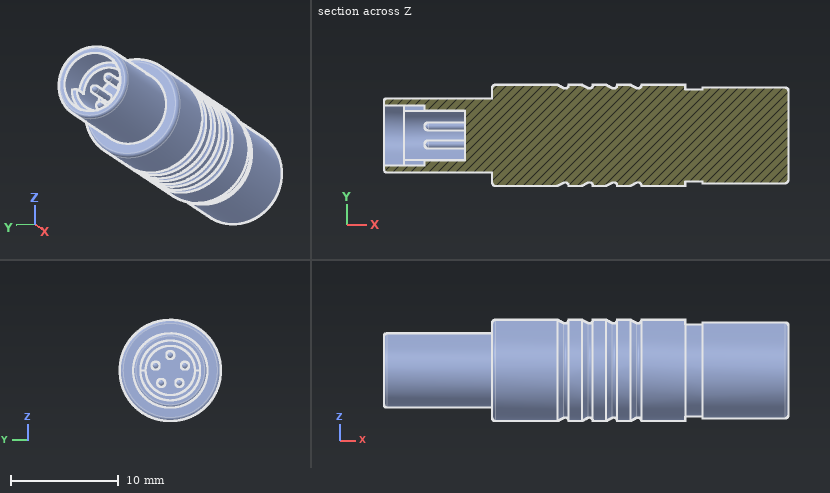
import cadquery as cq
import math

length = 37.5
body_start = 10.0
body_end = 27.95
collar_start = 29.5

tip_radius = 3.45
body_radius = 4.705
neck_radius = 4.28
collar_radius = 4.45

tip_round = 0.25
body_round = 0.35
collar_round = 0.35

groove_count = 4
groove_pitch = 2.25
first_groove = 16.1
groove_slope_length = 0.55
groove_width = 1.0
groove_slope_drop = 0.3

mouth_radius = 2.78
mouth_depth = 1.88
upper_mouth_depth = 3.75
bore_radius = 2.3
socket_depth = 7.5
pin_count = 5
pin_circle_radius = 1.42
pin_radius = 0.38
pin_length = 3.75
pin_embed = 0.38


def cylinder(start, end, radius):
    """Solid cylinder about the X axis between two stations."""
    return cq.Workplane("YZ", origin=(start, 0, 0)).circle(radius).extrude(end - start)


def outer_shell():
    """Stepped outside of the connector with its rounded edges."""
    tip = cylinder(0, body_start, tip_radius).faces("<X").edges().fillet(tip_round)
    body = cylinder(body_start, body_end, body_radius).faces("<X").edges().fillet(body_round)
    neck = cylinder(body_end, collar_start, neck_radius)
    collar = cylinder(collar_start, length, collar_radius).faces(">X").edges().fillet(collar_round)
    return tip.union(body).union(neck).union(collar)


def grip_groove(start):
    """Ring cutter for one grip groove."""
    clearance_radius = body_radius + groove_slope_drop
    arc_start = start + groove_slope_length
    end = start + groove_width
    return (
        cq.Workplane("XY")
        .moveTo(start, body_radius)
        .lineTo(arc_start, body_radius - groove_slope_drop)
        .tangentArcPoint((end, body_radius), relative=False)
        .lineTo(end, clearance_radius)
        .lineTo(start, clearance_radius)
        .close()
        .revolve(360, (0, 0, 0), (1, 0, 0))
    )


def contact_pin(angle):
    """Round-nosed pin standing on the socket floor."""
    y = pin_circle_radius * math.sin(angle)
    z = pin_circle_radius * math.cos(angle)
    pin_tip = socket_depth - pin_length
    shank = cylinder(pin_tip + pin_radius, socket_depth + pin_embed, pin_radius)
    nose = cq.Workplane("XY").sphere(pin_radius).translate((pin_tip + pin_radius, 0, 0))
    return shank.union(nose).translate((0, y, z))


def socket_cutter():
    """Stepped socket space that leaves the key shoulder standing below the axis plane."""
    key_length = upper_mouth_depth - mouth_depth
    key_space = (
        cq.Workplane("XY", origin=(mouth_depth, 0, -body_radius))
        .box(key_length, 2 * body_radius, body_radius, centered=(False, True, False))
    )
    mouth = cylinder(0, upper_mouth_depth, mouth_radius).cut(key_space)
    return mouth.union(cylinder(0, socket_depth, bore_radius))


result = outer_shell()
for index in range(groove_count):
    result = result.cut(grip_groove(first_groove + index * groove_pitch))

result = result.cut(socket_cutter())

for index in range(pin_count):
    result = result.union(contact_pin(index * 2 * math.pi / pin_count))